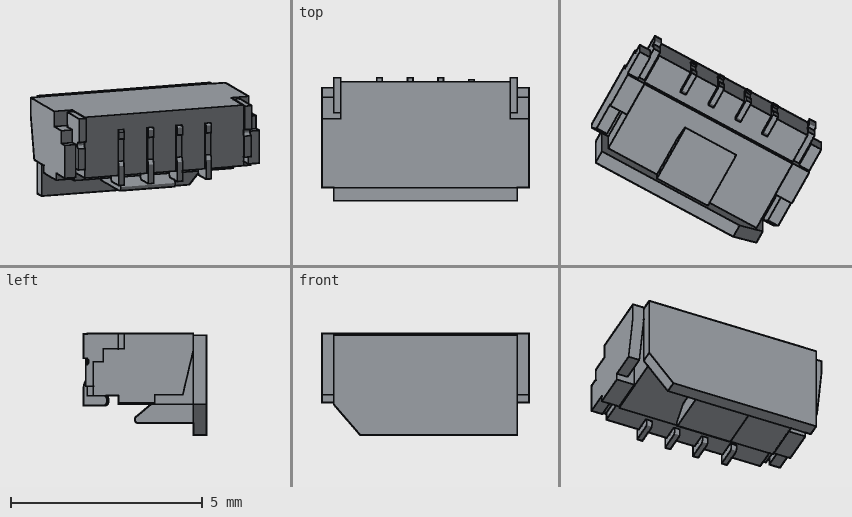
import cadquery as cq


housing_width = 5.4
plate_width = 4.785
core_width = 4.405

plate_thickness = 0.345
plate_top = 2.61
plate_corner_cut = 0.69
tongue_width = 1.51
tongue_bottom = 0.315
tongue_tip_y = 1.87
tongue_nose_top = 0.455
tongue_slope_start_y = 1.46
tongue_nose_radius = 0.08

housing_top = 2.65
core_bottom = 0.8
core_back = 3.105
raised_bottom = 1.03
raised_bottom_y = 2.3
roof_bottom = 2.245
roof_back = 2.145
ear_back = 2.95
ear_step_y = 2.695
ear_step_z = 1.905
ear_foot_bottom = 0.85
ear_foot_front = 1.355
ear_front_bottom = 1.05
ear_slant_y = 0.62
ear_slant_top = 2.215

nail_top = 2.64
nail_bottom = 1.27
nail_back = 3.21
nail_back_recess = 0.055
notch_radius = 0.085
notch_z = 1.915
notch_edge_radius = 0.03

terminal_count = 4
terminal_pitch = 0.8
terminal_width = 0.15
terminal_thickness = 0.26
heel_back = 3.21
waist_depth = 0.055
waist_bottom = 1.41
heel_top = 1.22
head_top = roof_bottom
head_edge_size = 0.055
foot_tip_y = 2.605
foot_tip_radius = 0.085

waist_back = heel_back - waist_depth
heel_rise = waist_bottom - heel_top
heel_curve_radius = (heel_rise**2 + waist_depth**2) / (2 * waist_depth)
forward_shift = waist_back - core_back
notch_top = notch_z + notch_radius


def side_profile(points, x_start, width):
    """Closed (Y, Z) outline extruded along +X from x_start."""
    return cq.Workplane("YZ", origin=(x_start, 0, 0)).polyline(points).close().extrude(width)


def make_plate():
    half = plate_width / 2
    outline = [
        (-half, plate_top),
        (half, plate_top),
        (half, 0),
        (-half + plate_corner_cut, 0),
        (-half, core_bottom),
    ]
    plate = cq.Workplane("XZ").polyline(outline).close().extrude(-plate_thickness)
    tongue = side_profile(
        [
            (plate_thickness, core_bottom),
            (plate_thickness, tongue_bottom),
            (tongue_tip_y, tongue_bottom),
            (tongue_tip_y, tongue_nose_top),
            (tongue_slope_start_y, core_bottom),
        ],
        -tongue_width / 2,
        tongue_width,
    )
    tongue = tongue.faces(">Y").edges("|X").fillet(tongue_nose_radius)
    return plate.union(tongue)


def make_housing(terminals):
    core = side_profile(
        [
            (plate_thickness, core_bottom),
            (raised_bottom_y, core_bottom),
            (raised_bottom_y, raised_bottom),
            (core_back, raised_bottom),
            (core_back, housing_top),
            (plate_thickness, housing_top),
        ],
        -core_width / 2,
        core_width,
    )
    roof = side_profile(
        [
            (plate_thickness, roof_bottom),
            (roof_back, roof_bottom),
            (roof_back, housing_top),
            (plate_thickness, housing_top),
        ],
        -housing_width / 2,
        housing_width,
    )
    ear_outline = [
        (plate_thickness, housing_top),
        (roof_back, housing_top),
        (roof_back, roof_bottom),
        (ear_step_y, roof_bottom),
        (ear_step_y, ear_step_z),
        (ear_back, ear_step_z),
        (ear_back, raised_bottom),
        (raised_bottom_y, raised_bottom),
        (raised_bottom_y, ear_foot_bottom),
        (ear_foot_front, ear_foot_bottom),
        (ear_foot_front, ear_front_bottom),
        (ear_slant_y, ear_front_bottom),
        (plate_thickness, ear_slant_top),
    ]
    web = side_profile(
        [
            (ear_foot_front, ear_foot_bottom),
            (raised_bottom_y, ear_foot_bottom),
            (raised_bottom_y, roof_bottom),
            (ear_foot_front, roof_bottom),
        ],
        -plate_width / 2,
        plate_width,
    )
    ear_width = (housing_width - plate_width) / 2
    housing = core.union(roof).union(web)
    for ear_start in (-housing_width / 2, plate_width / 2):
        housing = housing.union(side_profile(ear_outline, ear_start, ear_width))
    for terminal in terminals:
        housing = housing.cut(terminal)
    return housing


def make_nail(x_start):
    thickness = (plate_width - core_width) / 2
    recessed_back = nail_back - nail_back_recess
    nail = (
        cq.Workplane("YZ", origin=(x_start, 0, 0))
        .moveTo(raised_bottom_y, nail_bottom)
        .lineTo(recessed_back, nail_bottom)
        .lineTo(recessed_back, notch_z - notch_radius)
        .threePointArc((recessed_back - notch_radius, notch_z), (recessed_back, notch_top))
        .lineTo(nail_back, notch_top)
        .lineTo(nail_back, nail_top)
        .lineTo(raised_bottom_y, nail_top)
        .close()
        .extrude(thickness)
    )
    lip_edge = cq.selectors.NearestToPointSelector((x_start + thickness / 2, nail_back, notch_top))
    return nail.edges("|X").edges(lip_edge).fillet(notch_edge_radius)


def make_terminal(x_center):
    """Terminal with a foot under the housing and a stem set into its back, head edge still sharp."""
    foot_bottom = raised_bottom - terminal_thickness
    stem_front = heel_back - terminal_thickness
    terminal = (
        cq.Workplane("YZ", origin=(x_center, 0, 0))
        .moveTo(foot_tip_y, foot_bottom)
        .lineTo(heel_back, foot_bottom)
        .lineTo(heel_back, heel_top)
        .radiusArc((waist_back, waist_bottom), -heel_curve_radius)
        .lineTo(waist_back, notch_top)
        .lineTo(heel_back, notch_top)
        .lineTo(heel_back, head_top)
        .lineTo(stem_front, head_top)
        .lineTo(stem_front, raised_bottom)
        .lineTo(foot_tip_y, raised_bottom)
        .close()
        .extrude(terminal_width / 2, both=True)
    )
    return terminal.faces("<Y").edges("|X").fillet(foot_tip_radius)


terminals = []
for index in range(terminal_count):
    terminal = make_terminal((index - (terminal_count - 1) / 2) * terminal_pitch)
    head_edge = terminal.faces(">Z").edges(">Y")
    if index == terminal_count - 1:
        terminal = head_edge.chamfer(head_edge_size).translate((0, -forward_shift, 0))
    else:
        terminal = head_edge.fillet(head_edge_size)
    terminals.append(terminal)

nails = [make_nail(x_start) for x_start in (-plate_width / 2, core_width / 2)]
plate = make_plate()
housing = make_housing(terminals)

result = cq.Compound.makeCompound(
    [
        housing.solids().val(),
        plate.solids().val(),
        *[nail.val() for nail in nails],
        *[terminal.val() for terminal in terminals],
    ]
)